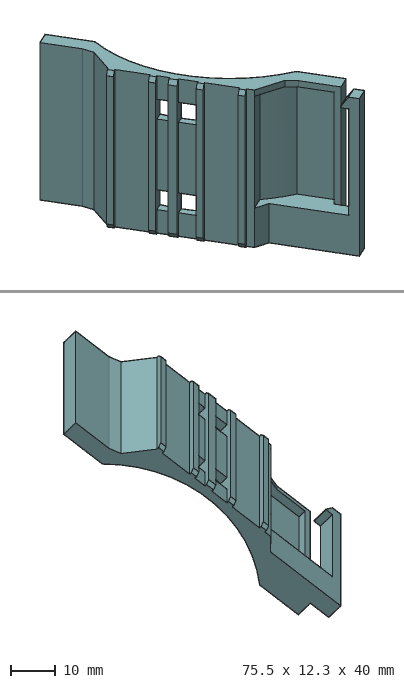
import cadquery as cq
import math

HEIGHT = 40.0
HALF_WIDTH = 35.0
BACK_Y = 0.0
FLANGE_THICKNESS = 4.0
FLANGE_FRONT_Y = BACK_Y - FLANGE_THICKNESS

SADDLE_RADIUS = 35.0
SADDLE_DEPTH = 9.0
SADDLE_HALF_CHORD = math.sqrt(SADDLE_RADIUS**2 - (SADDLE_RADIUS - SADDLE_DEPTH) ** 2)
SADDLE_CENTER_Y = BACK_Y + SADDLE_RADIUS - SADDLE_DEPTH
WALL = 2.0
BULGE_FRONT_Y = BACK_Y - SADDLE_DEPTH - WALL
BULGE_HALF_WIDTH = 17.0
BEVEL_OUTER_X = 25.1
BEVEL_INNER_X = 22.2
BEVEL_DEPTH = 0.8

RIB_HEIGHT = 1.25
RIB_WIDTH = 1.6
MIDDLE_RIB_WIDTH = 2.1
RIB_FRONT_Y = BULGE_FRONT_Y - RIB_HEIGHT
RIB_END_BEVEL_DEPTH = 0.75
RIB_END_BEVEL_LENGTH = 1.2
OUTER_LEFT_RIB_X = -BULGE_HALF_WIDTH + RIB_WIDTH / 2
INNER_LEFT_RIB_X = -6.45
MIDDLE_RIB_X = -1.65
INNER_RIGHT_RIB_X = 4.65
OUTER_RIGHT_RIB_X = 14.4
RIBS = [
    (OUTER_LEFT_RIB_X, RIB_WIDTH),
    (INNER_LEFT_RIB_X, RIB_WIDTH),
    (MIDDLE_RIB_X, MIDDLE_RIB_WIDTH),
    (INNER_RIGHT_RIB_X, RIB_WIDTH),
    (OUTER_RIGHT_RIB_X, RIB_WIDTH),
]

WINDOW_HEIGHT = 5.0
WINDOW_PITCH = 23.0
WINDOW_MID_Z = HEIGHT / 2

ARM_ROOT_X = 19.0
ARM_OVERHANG = 5.5
ARM_TIP_X = HALF_WIDTH + ARM_OVERHANG
ARM_WIDTH = 2.5
ARM_INNER_X = ARM_TIP_X - ARM_WIDTH
ARM_THICKNESS = 4.0
ARM_BASE_HEIGHT = 10.0
HOOK_REACH = 1.9
HOOK_HEIGHT = 3.0
HOOK_LIP = 0.3

POCKET_RADIUS = SADDLE_RADIUS + WALL
POCKET_FLOOR_Y = BACK_Y - WALL
POCKET_FLOOR_X = math.sqrt(POCKET_RADIUS**2 - (SADDLE_CENTER_Y - POCKET_FLOOR_Y) ** 2)
POCKET_RIM = 1.6


def box(x_min, x_max, y_min, y_max, z_min, z_max):
    size = (x_max - x_min, y_max - y_min, z_max - z_min)
    return cq.Workplane("XY").box(*size, centered=False).translate((x_min, y_min, z_min))


def point_on_arc(radius, x):
    """Point at x on the front half of a circle about the saddle axis."""
    return (x, SADDLE_CENTER_Y - math.sqrt(radius**2 - x**2))


def make_saddle_plate():
    bevel_y = FLANGE_FRONT_Y - BEVEL_DEPTH
    return (
        cq.Workplane("XY")
        .moveTo(-HALF_WIDTH, BACK_Y)
        .lineTo(-SADDLE_HALF_CHORD, BACK_Y)
        .threePointArc(point_on_arc(SADDLE_RADIUS, 0), (SADDLE_HALF_CHORD, BACK_Y))
        .lineTo(HALF_WIDTH, BACK_Y)
        .lineTo(HALF_WIDTH, FLANGE_FRONT_Y)
        .lineTo(BEVEL_OUTER_X, FLANGE_FRONT_Y)
        .lineTo(BEVEL_INNER_X, bevel_y)
        .lineTo(BULGE_HALF_WIDTH, BULGE_FRONT_Y)
        .lineTo(-BULGE_HALF_WIDTH, BULGE_FRONT_Y)
        .lineTo(-BEVEL_INNER_X, bevel_y)
        .lineTo(-BEVEL_OUTER_X, FLANGE_FRONT_Y)
        .lineTo(-HALF_WIDTH, FLANGE_FRONT_Y)
        .close()
        .extrude(HEIGHT)
    )


def make_rib(center_x, width):
    """Full-height rib, rooted in the web, with bevelled top and bottom ends."""
    root_y = BULGE_FRONT_Y + WALL / 2
    bevel_start_y = RIB_FRONT_Y + RIB_END_BEVEL_DEPTH
    return (
        cq.Workplane("YZ")
        .moveTo(root_y, 0)
        .lineTo(bevel_start_y, 0)
        .lineTo(RIB_FRONT_Y, RIB_END_BEVEL_LENGTH)
        .lineTo(RIB_FRONT_Y, HEIGHT - RIB_END_BEVEL_LENGTH)
        .lineTo(bevel_start_y, HEIGHT)
        .lineTo(root_y, HEIGHT)
        .close()
        .extrude(width)
        .translate((center_x - width / 2, 0, 0))
    )


def make_windows():
    left_gap = (INNER_LEFT_RIB_X + RIB_WIDTH / 2, MIDDLE_RIB_X - MIDDLE_RIB_WIDTH / 2)
    right_gap = (MIDDLE_RIB_X + MIDDLE_RIB_WIDTH / 2, INNER_RIGHT_RIB_X - RIB_WIDTH / 2)
    windows = cq.Workplane("XY")
    for x_min, x_max in (left_gap, right_gap):
        for side in (-1, 1):
            z_min = WINDOW_MID_Z + side * WINDOW_PITCH / 2 - WINDOW_HEIGHT / 2
            z_max = z_min + WINDOW_HEIGHT
            windows = windows.add(box(x_min, x_max, RIB_FRONT_Y, BACK_Y, z_min, z_max))
    return windows.combine()


def make_pocket():
    """Cutter whose floor follows the saddle and then runs flat under the flange."""
    rim_x = HALF_WIDTH - POCKET_RIM
    mid_x = (BULGE_HALF_WIDTH + POCKET_FLOOR_X) / 2
    return (
        cq.Workplane("XY")
        .workplane(offset=ARM_BASE_HEIGHT)
        .moveTo(BULGE_HALF_WIDTH, BULGE_FRONT_Y)
        .lineTo(*point_on_arc(POCKET_RADIUS, BULGE_HALF_WIDTH))
        .threePointArc(point_on_arc(POCKET_RADIUS, mid_x), (POCKET_FLOOR_X, POCKET_FLOOR_Y))
        .lineTo(rim_x, POCKET_FLOOR_Y)
        .lineTo(rim_x, BULGE_FRONT_Y)
        .close()
        .extrude(HEIGHT - POCKET_RIM - ARM_BASE_HEIGHT)
    )


def make_latch_arm():
    """L-shaped arm with a hook at its top, rooted in the bulge slope."""
    return (
        cq.Workplane("XZ", origin=(0, FLANGE_FRONT_Y, 0))
        .moveTo(ARM_ROOT_X, 0)
        .lineTo(ARM_TIP_X, 0)
        .lineTo(ARM_TIP_X, HEIGHT)
        .lineTo(ARM_INNER_X, HEIGHT)
        .lineTo(ARM_INNER_X - HOOK_REACH, HEIGHT - HOOK_HEIGHT + HOOK_LIP)
        .lineTo(ARM_INNER_X - HOOK_REACH, HEIGHT - HOOK_HEIGHT)
        .lineTo(ARM_INNER_X, HEIGHT - HOOK_HEIGHT)
        .lineTo(ARM_INNER_X, ARM_BASE_HEIGHT)
        .lineTo(ARM_ROOT_X, ARM_BASE_HEIGHT)
        .close()
        .extrude(ARM_THICKNESS)
    )


result = make_saddle_plate().cut(make_pocket())
for rib_x, rib_width in RIBS:
    result = result.union(make_rib(rib_x, rib_width))
result = result.cut(make_windows()).union(make_latch_arm())